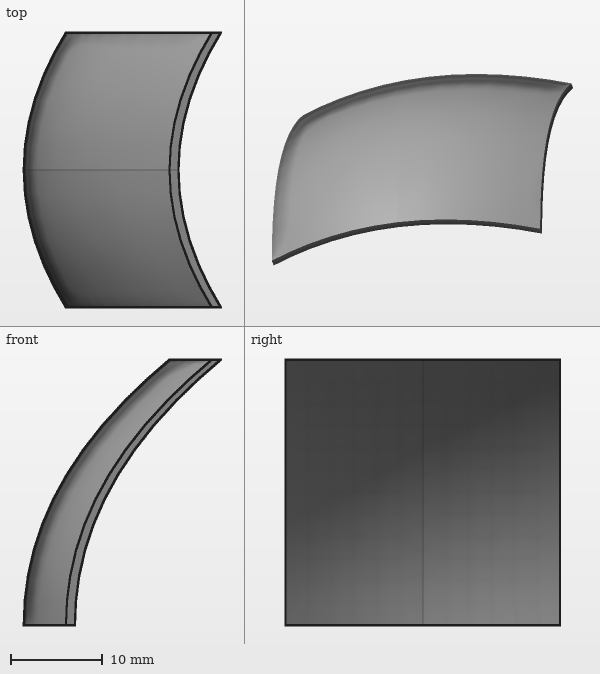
import cadquery as cq

width = 30.0
height = 29.0
depth = 21.55
wall = 1.0

bow_depth = 4.62
lean_depth = depth - wall - bow_depth
top_slope = 1.2

half_width = width / 2
intervals = 20


def bow(y):
    """Parabolic set-back of the shell towards its side edges."""
    return bow_depth * (y / half_width) ** 2


def lean(z):
    """Cubic profile: upright at the bottom, sloping by top_slope at the top."""
    u = z / height
    end_rise = top_slope * height
    return (3 * lean_depth - end_rise) * u**2 + (end_rise - 2 * lean_depth) * u**3


def surface_point(i, j):
    """Point of the outer surface on one half of the width."""
    y = half_width * i / intervals
    z = height * j / intervals
    return cq.Vector(lean(z) + bow(y), y, z)


steps = range(intervals + 1)
outer_face = cq.Face.makeSplineApprox([[surface_point(i, j) for j in steps] for i in steps], tol=1e-3)
half_shell = cq.Workplane(cq.Solid.extrudeLinear(outer_face, cq.Vector(wall, 0, 0)))

result = half_shell.union(half_shell.mirror("XZ"), clean=False)